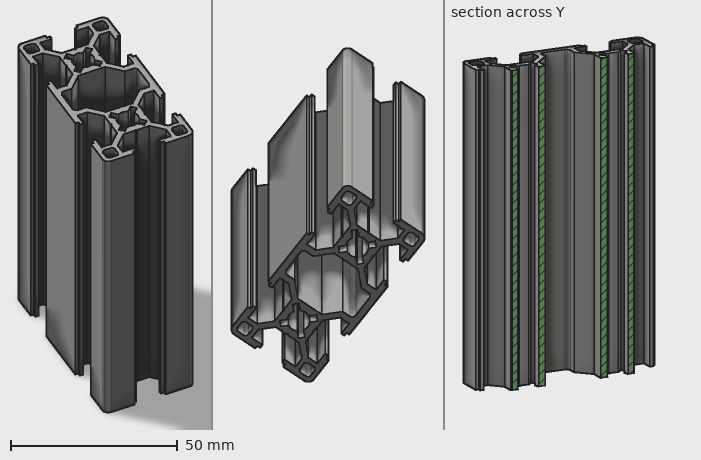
import cadquery as cq
import math


MODULE = 30.0
LENGTH = 100.0
HALF_MODULE = MODULE / 2
WIDTH = 2 * MODULE
OUTER_CORNER_RADIUS = 2.0

MOUTH_HALF_WIDTH = 5.2
LIP_HALF_GAP = 4.1
SLOT_HALF_WIDTH = 8.1
MOUTH_STEP_DEPTH = 1.0
LIP_DEPTH = 2.2

CORE_HALF = 5.75
SLOT_FLOOR_HALF_WIDTH = 4.35
GROOVE_HALF_WIDTH = 0.3
GROOVE_DEPTH = 0.3

BORE_DIAMETER = 6.8
CROSS_LENGTH = 11.2
CROSS_WIDTH = 2.0
CROSS_ANGLES = (45, 135)

CORNER_HOLE_SIZE = 3.9
CORNER_HOLE_INSET = 3.45
CORNER_HOLE_RADIUS = 1.0

CAVITY_HALF_WIDTH = 4.8
CAVITY_WALL_START = 4.45
CAVITY_CORNER_RADIUS = 1.3

MODULE_CENTRES = (-HALF_MODULE, HALF_MODULE)


def make_blank():
    """Solid bar with rounded long edges."""
    return cq.Workplane("XY").rect(WIDTH, MODULE).extrude(LENGTH).edges("|Z").fillet(OUTER_CORNER_RADIUS)


def make_slot():
    """T-slot void opening toward +Y, centred on a module at the origin."""
    web_start = CORE_HALF + SLOT_HALF_WIDTH - SLOT_FLOOR_HALF_WIDTH
    step = HALF_MODULE - MOUTH_STEP_DEPTH
    lip = HALF_MODULE - LIP_DEPTH
    right_half = [
        (GROOVE_HALF_WIDTH, CORE_HALF),
        (SLOT_FLOOR_HALF_WIDTH, CORE_HALF),
        (SLOT_HALF_WIDTH, web_start),
        (SLOT_HALF_WIDTH, lip),
        (LIP_HALF_GAP, lip),
        (LIP_HALF_GAP, step),
        (MOUTH_HALF_WIDTH, step),
        (MOUTH_HALF_WIDTH, HALF_MODULE),
    ]
    left_half = [(-x, y) for x, y in reversed(right_half)]
    groove_bottom = (0, CORE_HALF - GROOVE_DEPTH)
    outline = [groove_bottom] + right_half + left_half
    return cq.Workplane("XY").polyline(outline).close().extrude(LENGTH)


def make_core_bore():
    """Round bore crossed by two diagonal relief slots, centred at the origin."""
    bore = cq.Workplane("XY").circle(BORE_DIAMETER / 2).extrude(LENGTH)
    for angle in CROSS_ANGLES:
        relief = cq.Workplane("XY").rect(CROSS_LENGTH, CROSS_WIDTH).extrude(LENGTH)
        bore = bore.union(relief.rotate((0, 0, 0), (0, 0, 1), angle))
    return bore


def make_corner_holes():
    """Rounded square channels in the four outer corners."""
    pitch_x = WIDTH - 2 * CORNER_HOLE_INSET
    pitch_y = MODULE - 2 * CORNER_HOLE_INSET
    return (
        cq.Workplane("XY")
        .rect(pitch_x, pitch_y, forConstruction=True)
        .vertices()
        .rect(CORNER_HOLE_SIZE, CORNER_HOLE_SIZE)
        .extrude(LENGTH)
        .edges("|Z")
        .fillet(CORNER_HOLE_RADIUS)
    )


def make_cavity():
    """Cross-shaped void between the cores, with 45 degree flanks and rounded outer corners."""
    core_face = HALF_MODULE - CORE_HALF
    wall_end = CAVITY_WALL_START + core_face - CAVITY_HALF_WIDTH
    top = HALF_MODULE - LIP_DEPTH
    upper_right = [
        (core_face, CAVITY_WALL_START),
        (CAVITY_HALF_WIDTH, wall_end),
        (CAVITY_HALF_WIDTH, top),
    ]
    upper_left = [(-x, y) for x, y in reversed(upper_right)]
    upper = upper_right + upper_left
    lower = [(-x, -y) for x, y in upper]
    cavity = cq.Workplane("XY").polyline(upper + lower).close().extrude(LENGTH)
    return cavity.faces("<Y or >Y").edges("|Z").fillet(CAVITY_CORNER_RADIUS)


def slot_at(centre_x, angle):
    """T-slot of the module at centre_x, turned by angle from the +Y direction."""
    return make_slot().rotate((0, 0, 0), (0, 0, 1), angle).translate((centre_x, 0, 0))


result = make_blank().cut(make_corner_holes()).cut(make_cavity())
for centre in MODULE_CENTRES:
    end_angle = math.copysign(90, -centre)
    for slot_angle in (0, 180, end_angle):
        result = result.cut(slot_at(centre, slot_angle))
    result = result.cut(make_core_bore().translate((centre, 0, 0)))